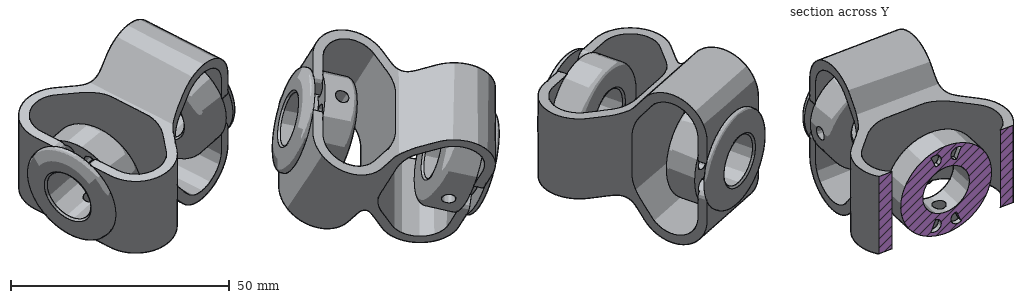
import cadquery as cq
import math

length = 47.75
strap_width = 22.0
strap_thickness = 2.5
loop_span = 40.75
loop_outer_radius = 9.5
flange_thickness = 1.85
front_flank_angle = 45.0
rear_flank_angle = 52.5
front_wall_offset = 0.6
neck_blend_radius = 6.25
inner_blend_radius = 9.7

half_length = length / 2
half_strap = strap_width / 2
strap_outer = half_length - flange_thickness
strap_inner = strap_outer - strap_thickness
lobe_u = loop_span / 2 - loop_outer_radius
lobe_v = strap_outer - loop_outer_radius
loop_inner_radius = loop_outer_radius - strap_thickness
rear_wall_offset = strap_thickness - front_wall_offset

flange_radius = 12.4
flange_face_radius = 9.5
flange_cone_angle = 15.0
flange_edge_radius = 0.75
collar_depth = 8.3
collar_edge_radius = 1.5
bore_radius = 6.25
bore_chamfer = 0.5
neck_radius = 8.0
set_screw_radius = 1.6
collar_inner = strap_inner - collar_depth

notch_half_width = 5.45
notch_wall_top = 3.75
notch_wall_bottom = 2.8
notch_wall_angle = 68.0
pocket_radius = 1.65
pocket_offset = 3.05
pocket_height = 9.05
pocket_depth = 2.3


def on_lobe(radius, degrees):
    """Point on the right-hand lobe circle; 0 is the widest point, positive turns inwards."""
    turn = math.radians(degrees)
    return (lobe_u + radius * math.cos(turn), lobe_v - radius * math.sin(turn))


def mirrored_prism(plane, side, start, steps):
    """Prism with a profile symmetric about the Y axis, given as its right half.

    The half runs from start through steps: one point is a line, two are an arc (middle, end).
    Side is +1 or -1, the Y direction of the loop's bushing.
    """
    half = cq.Workplane(plane).moveTo(0, side * start[1]).lineTo(start[0], side * start[1])
    for step in steps:
        points = [(u, side * v) for u, v in step]
        half = half.lineTo(*points[0]) if len(points) == 1 else half.threePointArc(*points)
    end_v = side * steps[-1][-1][1]
    prism = half.lineTo(0, end_v).close().extrude(length, both=True)
    return prism.union(prism.rotate((0, 0, 0), (0, 1, 0), 180))


def outer_body(plane, side, flank_angle):
    """Loop silhouette: wide lobes that flow into a straight neck as wide as the strap."""
    turn = math.radians(flank_angle)
    blend_u = half_strap + neck_blend_radius
    centre_distance = loop_outer_radius + neck_blend_radius
    blend_v = lobe_v - (centre_distance - (blend_u - lobe_u) * math.cos(turn)) / math.sin(turn)

    def on_blend(angle):
        return (blend_u - neck_blend_radius * math.cos(angle), blend_v + neck_blend_radius * math.sin(angle))

    return mirrored_prism(plane, side, (lobe_u, strap_outer), [
        [on_lobe(loop_outer_radius, (flank_angle - 90) / 2), on_lobe(loop_outer_radius, flank_angle)],
        [on_blend(turn)],
        [on_blend(turn / 2), on_blend(0)],
        [(half_strap, -strap_outer)],
    ])


def loop_opening(plane, side, flank_angle, wall_offset):
    """Space inside a loop: lobes, straight flanks and a blended flat end wall."""
    turn = math.radians(flank_angle)
    flank_start = on_lobe(loop_inner_radius, flank_angle)
    corner_u = flank_start[0] - (flank_start[1] - wall_offset) * math.tan(turn)
    blend_u = corner_u - inner_blend_radius * math.tan((math.pi / 2 - turn) / 2)
    blend_v = wall_offset + inner_blend_radius

    def on_blend(angle):
        return (blend_u + inner_blend_radius * math.cos(angle), blend_v - inner_blend_radius * math.sin(angle))

    return mirrored_prism(plane, side, (lobe_u, strap_inner), [
        [on_lobe(loop_inner_radius, (flank_angle - 90) / 2), flank_start],
        [on_blend(turn)],
        [on_blend((turn + math.pi / 2) / 2), on_blend(math.pi / 2)],
    ])


def notch_prism(near, far):
    """Notch in the top edge: rounded lips, sloping walls and an open bottom over the neck."""
    wall_turn = math.radians(notch_wall_angle)
    lip_radius = (notch_half_width - notch_wall_top) / math.sin(wall_turn)

    def on_lip(angle):
        drop = lip_radius * (1 - math.cos(angle))
        return (notch_half_width - lip_radius * math.sin(angle), half_strap - drop)

    lip_end = on_lip(wall_turn)
    lip_middle = on_lip(wall_turn / 2)
    floor = lip_end[1] - (notch_wall_top - notch_wall_bottom) * math.tan(wall_turn)
    profile = (
        cq.Workplane("XZ", origin=(0, -near, 0))
        .moveTo(notch_half_width, half_strap)
        .threePointArc(lip_middle, lip_end)
        .lineTo(notch_wall_bottom, floor)
        .lineTo(notch_wall_bottom, 0)
        .lineTo(-notch_wall_bottom, 0)
        .lineTo(-notch_wall_bottom, floor)
        .lineTo(-lip_end[0], lip_end[1])
        .threePointArc((-lip_middle[0], lip_middle[1]), (-notch_half_width, half_strap))
        .close()
    )
    return profile.extrude(far - near)


def front_cylinder(radius, near, far, x=0.0, z=0.0):
    """Cylinder along Y between two distances in front of the middle plane."""
    return cq.Workplane("XZ", origin=(x, -near, z)).circle(radius).extrude(far - near)


def edge_notch():
    """Top notch between collar and flange, with two blind pockets running on into the collar."""
    notch = notch_prism(strap_inner, strap_outer)
    deep_notch = notch_prism(strap_inner - pocket_depth, strap_inner)
    for x in (-pocket_offset, pocket_offset):
        pocket = front_cylinder(pocket_radius, strap_inner - pocket_depth, strap_inner, x, pocket_height)
        notch = notch.union(pocket.intersect(deep_notch))
    return notch.cut(front_cylinder(neck_radius, 0, length))


def bushing():
    """Front flange, neck and collar as one turned body."""
    cone_height = (flange_radius - flange_face_radius) * math.tan(math.radians(flange_cone_angle))
    flange = (
        cq.Workplane("XY")
        .moveTo(0, -strap_outer)
        .lineTo(flange_radius, -strap_outer)
        .lineTo(flange_radius, cone_height - half_length)
        .lineTo(flange_face_radius, -half_length)
        .lineTo(0, -half_length)
        .close()
        .revolve(360, (0, 0, 0), (0, 1, 0))
        .edges(cq.selectors.RadiusNthSelector(-1))
        .edges("<Y")
        .fillet(flange_edge_radius)
    )
    collar = front_cylinder(flange_radius, collar_inner, strap_inner)
    collar = collar.faces(">Y").edges().fillet(collar_edge_radius)
    neck = front_cylinder(neck_radius, collar_inner, strap_outer)
    return flange.union(neck).union(collar)


def bore():
    """Through bore, chamfered at both ends, and a radial set screw hole facing down."""
    mouth_radius = bore_radius + bore_chamfer
    hole = (
        cq.Workplane("XY")
        .moveTo(0, -collar_inner)
        .lineTo(mouth_radius, -collar_inner)
        .lineTo(bore_radius, -collar_inner - bore_chamfer)
        .lineTo(bore_radius, bore_chamfer - half_length)
        .lineTo(mouth_radius, -half_length)
        .lineTo(0, -half_length)
        .close()
        .revolve(360, (0, 0, 0), (0, 1, 0))
    )
    set_screw = (
        cq.Workplane("XY", origin=(0, -(collar_inner + strap_inner) / 2, 0))
        .circle(set_screw_radius)
        .extrude(-length)
    )
    return hole.union(set_screw)


def to_rear(shape):
    """Carry a front feature to the rear, so that its underside faces -X."""
    return shape.rotate((0, 0, 0), (0, 0, 1), 180).rotate((0, 0, 0), (0, 1, 0), 90)


outer_front = outer_body("XY", -1, front_flank_angle)
outer_rear = outer_body("ZY", 1, rear_flank_angle)
front_opening = loop_opening("XY", -1, front_flank_angle, front_wall_offset)
rear_opening = loop_opening("ZY", 1, rear_flank_angle, rear_wall_offset)
straps = outer_front.intersect(outer_rear).cut(front_opening).cut(rear_opening)

front_bushing = bushing()
top_notch = edge_notch()
front_cuts = top_notch.union(top_notch.mirror("XY")).union(bore())

result = straps.union(front_bushing).union(to_rear(front_bushing))
result = result.cut(front_cuts).cut(to_rear(front_cuts))